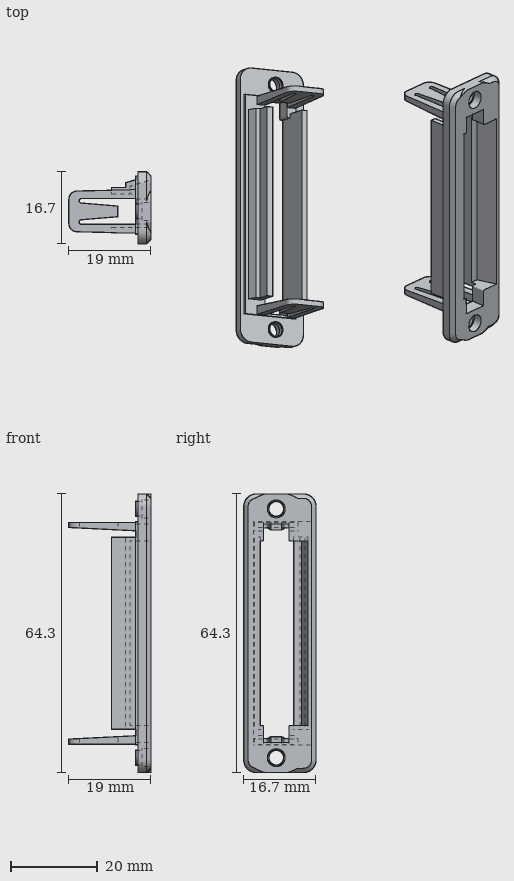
import cadquery as cq


CENTER_LINE_Y = -0.85

TOTAL_DEPTH = 19.0
BEZEL_WIDTH = 16.7
BEZEL_HEIGHT = 64.3
BEZEL_THICKNESS = 3.0
BEZEL_CORNER_RADIUS = 2.95
BEZEL_CHAMFER = 1.0
BEZEL_BACK = TOTAL_DEPTH - BEZEL_THICKNESS

PAD_THICKNESS = 0.5
PAD_Y_MIN = -6.1
PAD_Y_MAX = 7.3
PAD_HEIGHT = 51.45
PAD_BACK = BEZEL_BACK - PAD_THICKNESS

CLIP_ROOT_WIDTH = 10.05
CLIP_TIP_WIDTH = 9.4
CLIP_OUTER_Z = 25.6
CLIP_ROOT_THICKNESS = 2.0
CLIP_TIP_THICKNESS = 1.2
CLIP_CORNER_RADIUS = 2.0
CLIP_GAP = 5.9
SLOT_START = 2.45
SLOT_END_WIDTH = 0.95
SLOT_END_RADIUS = 0.45
TONGUE_END = 11.3
TONGUE_END_WIDTH = 2.5

WINDOW_END_WIDTH = 5.8
WINDOW_HEIGHT = 50.4
WIDE_WINDOW_HEIGHT = 42.45
TAB_CORNER_RADIUS = 0.4

RAIL_HEIGHT = 44.4
RAIL_START = 9.85
LIP_INNER_Y = 3.15
LIP_OUTER_Y = 4.7
LIP_UNDERSIDE = 14.15
STEP_X = 13.1
SLOPE_OUTER_Y = 6.5
SLOPE = 0.3
SLOPE_INNER_Y = 6.4
PLAIN_RAIL_INNER_Y = -4.5
PLAIN_RAIL_OUTER_Y = -5.85

HOLE_Z = 28.7
HOLE_DIAMETER = 3.35
COUNTERBORE_DIAMETER = 4.1
COUNTERBORE_DEPTH = 2.1
COLLAR_DIAMETER = 3.6
END_PAD_RADIUS = 9.65
END_PAD_CENTER_Z = 22.8
END_PAD_WIDTH = 10.05


def box(x_min, x_max, y_min, y_max, z_min, z_max):
    size = (x_max - x_min, y_max - y_min, z_max - z_min)
    return cq.Workplane("XY").box(*size, centered=False).translate((x_min, y_min, z_min))


def full_height_box(x_min, x_max, y_min, y_max, height):
    return box(x_min, x_max, y_min, y_max, -height / 2, height / 2)


def cylinder_x(diameter, x_min, x_max, y, z):
    plane = cq.Workplane("YZ", origin=(x_min, y, z))
    return plane.circle(diameter / 2).extrude(x_max - x_min)


def with_mirror(body):
    """Return the body together with its mirror image about Z = 0."""
    return body.union(body.mirror("XY"))


def rounded_plate():
    plate = full_height_box(BEZEL_BACK, TOTAL_DEPTH, -BEZEL_WIDTH / 2, BEZEL_WIDTH / 2, BEZEL_HEIGHT)
    return plate.edges("|X").fillet(BEZEL_CORNER_RADIUS)


def bezel():
    plate = rounded_plate().faces(">X").chamfer(BEZEL_CHAMFER)
    disc = cylinder_x(2 * END_PAD_RADIUS, BEZEL_BACK, TOTAL_DEPTH, CENTER_LINE_Y, END_PAD_CENTER_Z)
    end_zone = box(BEZEL_BACK, TOTAL_DEPTH, CENTER_LINE_Y - END_PAD_WIDTH / 2,
                   CENTER_LINE_Y + END_PAD_WIDTH / 2, HOLE_Z, BEZEL_HEIGHT / 2)
    pad = full_height_box(PAD_BACK, BEZEL_BACK, PAD_Y_MIN, PAD_Y_MAX, PAD_HEIGHT)
    return plate.union(with_mirror(disc.intersect(end_zone))).union(pad)


def window():
    end_y_min = CENTER_LINE_Y - WINDOW_END_WIDTH / 2
    end_y_max = CENTER_LINE_Y + WINDOW_END_WIDTH / 2
    narrow = full_height_box(PAD_BACK, TOTAL_DEPTH, end_y_min, end_y_max, WINDOW_HEIGHT)
    inner_y_at_lip = SLOPE_INNER_Y - SLOPE * (TOTAL_DEPTH - LIP_UNDERSIDE)
    wide = (
        cq.Workplane("XY", origin=(0, 0, -WIDE_WINDOW_HEIGHT / 2))
        .polyline([
            (LIP_UNDERSIDE, PLAIN_RAIL_INNER_Y),
            (TOTAL_DEPTH, PLAIN_RAIL_INNER_Y),
            (TOTAL_DEPTH, SLOPE_INNER_Y),
            (LIP_UNDERSIDE, inner_y_at_lip),
        ])
        .close()
        .extrude(WIDE_WINDOW_HEIGHT)
    )
    opening = narrow.union(wide)
    tab_corners = cq.selectors.BoxSelector(
        (PAD_BACK, end_y_min - TAB_CORNER_RADIUS, -WIDE_WINDOW_HEIGHT / 2 - TAB_CORNER_RADIUS),
        (TOTAL_DEPTH, end_y_max + TAB_CORNER_RADIUS, WIDE_WINDOW_HEIGHT / 2 + TAB_CORNER_RADIUS),
    )
    return opening.edges("|X").edges(tab_corners).fillet(TAB_CORNER_RADIUS)


def stepped_rail():
    slope_start_y = SLOPE_OUTER_Y - SLOPE * (PAD_BACK - STEP_X)
    return (
        cq.Workplane("XY", origin=(0, 0, -RAIL_HEIGHT / 2))
        .polyline([
            (PAD_BACK, SLOPE_OUTER_Y),
            (STEP_X, slope_start_y),
            (STEP_X, LIP_OUTER_Y),
            (RAIL_START, LIP_OUTER_Y),
            (RAIL_START, LIP_INNER_Y),
            (PAD_BACK, LIP_INNER_Y),
        ])
        .close()
        .extrude(RAIL_HEIGHT)
    )


def plain_rail():
    return full_height_box(RAIL_START, PAD_BACK, PLAIN_RAIL_OUTER_Y, PLAIN_RAIL_INNER_Y, RAIL_HEIGHT)


def clip():
    """Tapered upper spring clip: two legs joined at the tip, with a tongue between them."""
    side_profile = (
        cq.Workplane("XZ", origin=(0, BEZEL_WIDTH / 2, 0))
        .polyline([
            (0, CLIP_OUTER_Z),
            (PAD_BACK, CLIP_OUTER_Z),
            (PAD_BACK, CLIP_OUTER_Z - CLIP_ROOT_THICKNESS),
            (0, CLIP_OUTER_Z - CLIP_TIP_THICKNESS),
        ])
        .close()
        .extrude(BEZEL_WIDTH)
    )
    plan_plane = cq.Workplane("XY", origin=(0, CENTER_LINE_Y, 0))
    plan = (
        plan_plane
        .polyline([
            (0, -CLIP_TIP_WIDTH / 2),
            (PAD_BACK, -CLIP_ROOT_WIDTH / 2),
            (PAD_BACK, CLIP_ROOT_WIDTH / 2),
            (0, CLIP_TIP_WIDTH / 2),
        ])
        .close()
        .extrude(BEZEL_HEIGHT / 2)
        .edges("|Z and <X")
        .fillet(CLIP_CORNER_RADIUS)
    )
    tongue_root = CLIP_GAP / 2 - SLOT_END_WIDTH
    cutout = (
        plan_plane
        .polyline([
            (SLOT_START, -CLIP_GAP / 2),
            (PAD_BACK, -CLIP_GAP / 2),
            (PAD_BACK, CLIP_GAP / 2),
            (SLOT_START, CLIP_GAP / 2),
            (SLOT_START, tongue_root),
            (TONGUE_END, TONGUE_END_WIDTH / 2),
            (TONGUE_END, -TONGUE_END_WIDTH / 2),
            (SLOT_START, -tongue_root),
        ])
        .close()
        .extrude(BEZEL_HEIGHT / 2)
        .edges("|Z and <X")
        .fillet(SLOT_END_RADIUS)
    )
    return side_profile.intersect(plan).cut(cutout)


def screw_collar():
    return cylinder_x(COLLAR_DIAMETER, PAD_BACK, BEZEL_BACK, CENTER_LINE_Y, HOLE_Z)


def screw_hole():
    shank = cylinder_x(HOLE_DIAMETER, PAD_BACK, TOTAL_DEPTH, CENTER_LINE_Y, HOLE_Z)
    head_seat = TOTAL_DEPTH - COUNTERBORE_DEPTH
    head = cylinder_x(COUNTERBORE_DIAMETER, head_seat, TOTAL_DEPTH, CENTER_LINE_Y, HOLE_Z)
    return shank.union(head)


result = (
    bezel()
    .union(with_mirror(screw_collar()))
    .union(stepped_rail())
    .union(plain_rail())
    .cut(window())
    .cut(with_mirror(screw_hole()))
    .union(with_mirror(clip()))
)